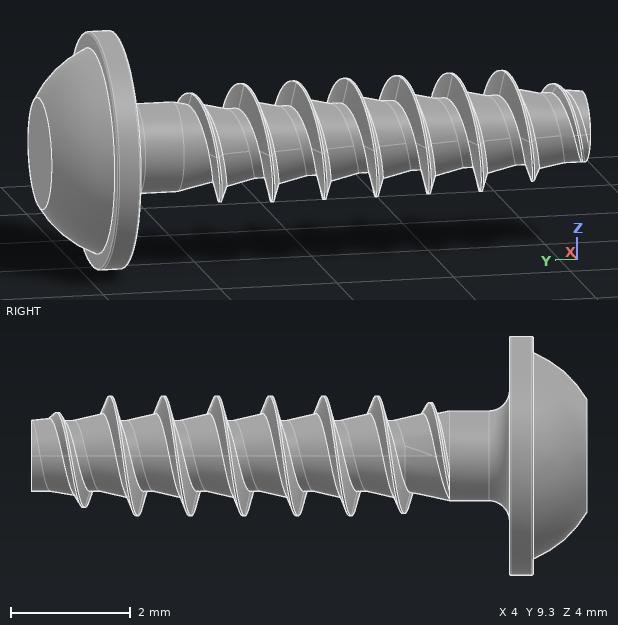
import cadquery as cq
import math

flange_radius = 2.0
flange_thickness = 0.4
flange_edge_fillet = 0.03
dome_base_radius = 1.73
dome_flat_radius = 0.94
dome_rise = 0.9
head_height = flange_thickness + dome_rise

shank_length = 9.3 - head_height
neck_radius = 0.75
neck_length = 1.0
neck_fillet = 0.34
core_radius = 0.595
neck_cone_length = 0.74
tip_dimple_radius = 0.53
tip_dimple_depth = 0.04

pitch = 0.89
first_crest_y = -1.99
start_turn = -1.25
full_turn = 0.0
runout_turn = 5.25
end_turn = 6.75
start_crest_radius = 0.82
crest_radius = 1.0
shoulder_radius = 0.71
buried_radius = 0.56
runout_radius = 0.59
inner_radius = 0.465
crest_half_width = 0.02
head_foot = 0.12
tip_foot = 0.13
ramp_end = pitch - head_foot
points_per_turn = 24
stretch_turns = 0.25


def ramp(value, low, high):
    """Fraction of the way from low to high, limited to 0..1."""
    return min(1.0, max(0.0, (value - low) / (high - low)))


def crest_at(turn):
    """Crest radius, growing at the neck and fading into the core at the tip."""
    grown = start_crest_radius + (crest_radius - start_crest_radius) * ramp(turn, start_turn, full_turn)
    return grown - (crest_radius - runout_radius) * ramp(turn, runout_turn, end_turn)


def shoulder_at(turn):
    """Shoulder radius, fading into the core together with the crest."""
    return shoulder_radius - (shoulder_radius - runout_radius) * ramp(turn, runout_turn, end_turn)


def constant(radius):
    return lambda turn: radius


def rail(offset, radius_at, begin, end):
    """Helical edge at an axial offset from the crest, positive toward the tip."""
    steps = round((end - begin) * points_per_turn)
    turns = [begin + i / points_per_turn for i in range(steps + 1)]
    points = []
    for turn in turns:
        angle = 2 * math.pi * turn
        radius = radius_at(turn)
        y = first_crest_y - pitch * turn - offset
        points.append(cq.Vector(radius * math.cos(angle), y, radius * math.sin(angle)))
    return cq.Edge.makeSpline(points, parameters=turns)


def make_body():
    """Head, filleted neck and plain core, revolved about Y."""
    centre_rise = (dome_rise**2 + dome_flat_radius**2 - dome_base_radius**2) / (2 * dome_rise)
    sphere_radius = math.hypot(dome_base_radius, centre_rise)
    mid_rise = dome_rise / 2
    mid_radius = math.sqrt(sphere_radius**2 - (mid_rise - centre_rise) ** 2)
    fillet_sag = neck_fillet * (1 - math.sqrt(0.5))
    body = (
        cq.Workplane("XY")
        .moveTo(0, -shank_length)
        .lineTo(core_radius, -shank_length)
        .lineTo(core_radius, -neck_length - neck_cone_length)
        .lineTo(neck_radius, -neck_length)
        .lineTo(neck_radius, -neck_fillet)
        .threePointArc((neck_radius + fillet_sag, -fillet_sag), (neck_radius + neck_fillet, 0))
        .lineTo(flange_radius, 0)
        .lineTo(flange_radius, flange_thickness)
        .lineTo(dome_base_radius, flange_thickness)
        .threePointArc((mid_radius, flange_thickness + mid_rise), (dome_flat_radius, head_height))
        .lineTo(0, head_height)
        .close()
        .revolve(360, (0, 0, 0), (0, 1, 0))
    )
    rim = cq.selectors.RadiusNthSelector(-1)
    return body.edges("%CIRCLE").edges(rim).fillet(flange_edge_fillet)


def make_tip_dimple():
    """Shallow cone sunk into the tip face."""
    return (
        cq.Workplane("XY")
        .moveTo(0, -shank_length)
        .lineTo(tip_dimple_radius, -shank_length)
        .lineTo(0, -shank_length + tip_dimple_depth)
        .close()
        .revolve(360, (0, 0, 0), (0, 1, 0))
    )


def thread_rails(begin, end):
    """Helical edges around the ridge section, in order, over one stretch of turns."""
    return [
        rail(-head_foot, constant(inner_radius), begin, end),
        rail(-head_foot, constant(buried_radius), begin, end),
        rail(-crest_half_width, crest_at, begin, end),
        rail(crest_half_width, crest_at, begin, end),
        rail(tip_foot, shoulder_at, begin, end),
        rail(ramp_end, constant(buried_radius), begin, end),
        rail(ramp_end, constant(inner_radius), begin, end),
    ]


def end_cap(rails, end):
    """Flat face across the rail starts (end 0) or the rail ends (end 1)."""
    corners = [edge.positionAt(end) for edge in rails]
    return cq.Face.makeFromWires(cq.Wire.makePolygon(corners, close=True))


def make_thread():
    """Tooth with a tapering ramp behind it, trimmed between the neck and the tip."""
    stretches = round((end_turn - start_turn) / stretch_turns)
    bounds = [start_turn + i * stretch_turns for i in range(stretches + 1)]
    rail_sets = [thread_rails(begin, end) for begin, end in zip(bounds, bounds[1:])]
    faces = [end_cap(rail_sets[0], 0), end_cap(rail_sets[-1], 1)]
    for rails in rail_sets:
        faces += [cq.Face.makeRuledSurface(a, b) for a, b in zip(rails, rails[1:] + rails[:1])]
    ridge = cq.Workplane(cq.Solid.makeSolid(cq.Shell.makeShell(faces)))
    threaded_length = shank_length - neck_length
    envelope = cq.Workplane("XZ", origin=(0, -neck_length, 0)).circle(flange_radius).extrude(threaded_length)
    return envelope.intersect(ridge)


result = make_body().union(make_thread()).cut(make_tip_dimple())